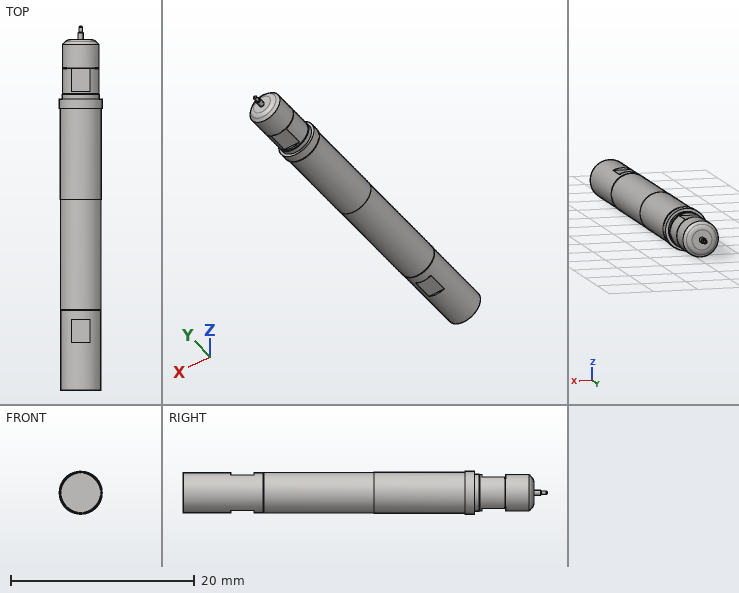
import cadquery as cq

total_length = 39.7
sleeve_front = 8.71
tube_joint = 20.8
collar_rear = 30.7
collar_length = 1.06
collar_front = collar_rear + collar_length
neck_length = 0.5
neck_front = collar_front + neck_length
nose_front = total_length - 1.45
pin_shoulder_front = total_length - 0.65

sleeve_diameter = 4.4
rear_tube_diameter = 4.46
front_tube_diameter = 4.5
collar_diameter = 4.7
neck_diameter = 4.05
plunger_diameter = 4.0
pin_shoulder_diameter = 0.6
pin_tip_diameter = 0.42

tube_rear_chamfer = 0.1
plunger_rear_chamfer = 0.1
nose_chamfer = 0.55
nose_edge_radius = 0.8
pin_shoulder_chamfer = 0.1
pin_tip_chamfer = 0.12

flat_length = 2.5
sleeve_flat_rear = 5.2
sleeve_flat_spacing = 3.9
plunger_flat_rear = 32.58
plunger_flat_spacing = 3.45

groove_width = 0.08
groove_diameter = 3.1
groove_rear = plunger_flat_rear + flat_length


def cylinder(diameter, start, end):
    """Solid cylinder on the Y axis between two stations."""
    return cq.Workplane("XZ", origin=(0, start, 0)).circle(diameter / 2).extrude(start - end)


def cut_flats(body, start, spacing):
    """Cut a pair of parallel flats whose faces are the given spacing apart."""
    cutter_size = collar_diameter
    for side in (1, -1):
        cutter = cq.Workplane("XY").box(cutter_size, flat_length, cutter_size)
        centre = (0, start + flat_length / 2, side * (spacing + cutter_size) / 2)
        body = body.cut(cutter.translate(centre))
    return body


def make_sleeve():
    """Rear sleeve with a pair of wrench flats."""
    return cut_flats(cylinder(sleeve_diameter, 0, sleeve_front), sleeve_flat_rear, sleeve_flat_spacing)


def make_barrel():
    """Two tube lengths, chamfered at the rear and ending in the stop collar."""
    rear_tube = cylinder(rear_tube_diameter, sleeve_front, tube_joint)
    rear_tube = rear_tube.faces("<Y").edges().chamfer(tube_rear_chamfer)
    front_tube = cylinder(front_tube_diameter, tube_joint, collar_rear)
    collar = cylinder(collar_diameter, collar_rear, collar_front)
    return rear_tube.union(front_tube).union(collar)


def make_plunger():
    """Plunger on a plain neck, with wrench flats, a groove and a chamfered, rounded nose."""
    neck = cylinder(neck_diameter, collar_front, neck_front)
    plunger = cylinder(plunger_diameter, neck_front, nose_front)
    plunger = plunger.faces("<Y").edges().chamfer(plunger_rear_chamfer)
    plunger = plunger.faces(">Y").edges().chamfer(nose_chamfer)
    plunger = plunger.faces(">Y").edges().fillet(nose_edge_radius)
    plunger = cut_flats(plunger, plunger_flat_rear, plunger_flat_spacing)
    groove_front = groove_rear + groove_width
    groove_core = cylinder(groove_diameter, groove_rear, groove_front)
    groove = cylinder(collar_diameter, groove_rear, groove_front).cut(groove_core)
    return neck.union(plunger.cut(groove))


def make_pin():
    """Stepped contact pin with a chamfered shoulder and tip."""
    shoulder = cylinder(pin_shoulder_diameter, nose_front, pin_shoulder_front)
    shoulder = shoulder.faces(">Y").edges().chamfer(pin_shoulder_chamfer)
    tip = cylinder(pin_tip_diameter, pin_shoulder_front, total_length)
    tip = tip.faces(">Y").edges().chamfer(pin_tip_chamfer)
    return shoulder.union(tip)


result = make_sleeve().union(make_barrel()).union(make_plunger()).union(make_pin())